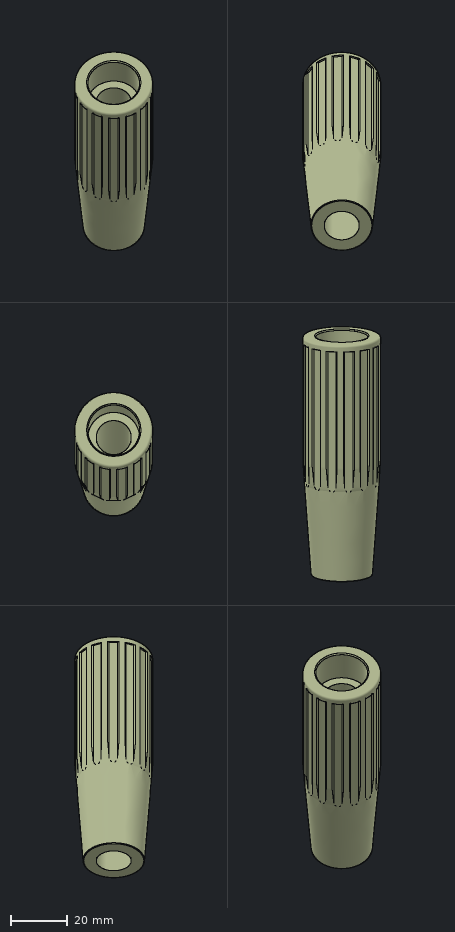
import cadquery as cq
import math

length = 88.0
grip_diameter = 28.0
foot_diameter = 22.0
taper_height = 42.3
blend_reach = 0.3
top_fillet = 1.1
foot_chamfer = 0.3

bore_diameter = 12.5
socket_diameter = 18.5
socket_depth = 12.0
socket_chamfer = 0.4
socket_chamfer_angle = 45.0

groove_count = 14
groove_depth = 0.63
groove_floor_width = 3.0
groove_floor_sag = 0.05
groove_wall_angle = 50.0
groove_top = 85.45
cutter_overhang = 0.9

grip_radius = grip_diameter / 2
foot_radius = foot_diameter / 2


def make_body():
    """Tapered foot blending into a cylindrical grip."""
    taper_angle = math.atan2(grip_radius - foot_radius, taper_height)
    blend_start = (
        grip_radius - blend_reach * math.sin(taper_angle),
        taper_height - blend_reach * math.cos(taper_angle),
    )
    blend_end = (grip_radius, taper_height + blend_reach)
    body = (
        cq.Workplane("XZ")
        .lineTo(foot_radius, 0)
        .lineTo(*blend_start)
        .tangentArcPoint(blend_end, relative=False)
        .lineTo(grip_radius, length)
        .lineTo(0, length)
        .close()
        .revolve(360, (0, 0, 0), (0, 1, 0))
    )
    return body.faces(">Z").edges().fillet(top_fillet).faces("<Z").edges().chamfer(foot_chamfer)


def make_groove():
    """Cutter for the groove facing -Y, running downwards until it leaves the taper."""
    floor_y = groove_depth - grip_radius
    floor_edge_y = floor_y - groove_floor_sag
    mouth_y = -grip_radius - cutter_overhang
    half_floor = groove_floor_width / 2
    half_mouth = half_floor + (floor_edge_y - mouth_y) * math.tan(math.radians(groove_wall_angle))
    return (
        cq.Workplane("XY")
        .moveTo(-half_floor, floor_edge_y)
        .threePointArc((0, floor_y), (half_floor, floor_edge_y))
        .lineTo(half_mouth, mouth_y)
        .lineTo(-half_mouth, mouth_y)
        .close()
        .extrude(groove_top)
    )


def make_bore():
    """Through hole with a chamfered socket at the top."""
    hole = cq.Workplane("XY").circle(bore_diameter / 2).extrude(length)
    socket = (
        cq.Workplane("XY")
        .workplane(offset=length - socket_depth)
        .circle(socket_diameter / 2)
        .extrude(socket_depth)
    )
    chamfer = (
        cq.Workplane("XY")
        .workplane(offset=length)
        .circle(socket_diameter / 2 + socket_chamfer)
        .extrude(-socket_chamfer, taper=socket_chamfer_angle)
    )
    return hole.union(socket).union(chamfer)


result = make_body().cut(make_bore())
groove = make_groove()
for index in range(groove_count):
    result = result.cut(groove.rotate((0, 0, 0), (0, 0, 1), index * 360 / groove_count))